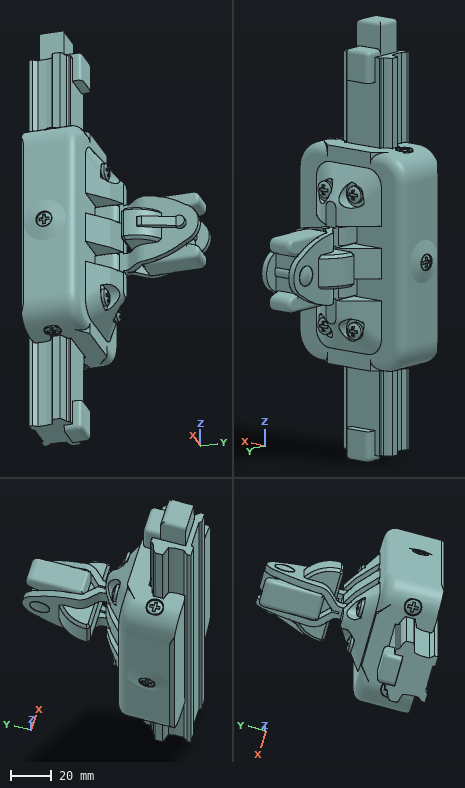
import cadquery as cq
import math

RAIL_LENGTH = 200.0
BASE_HALF_WIDTH = 12.0
BASE_EDGE_HEIGHT = 2.0
NECK_HALF_WIDTH = 10.3
NECK_BOTTOM = 4.2
NECK_TOP = 8.8
COVE_STEP = 0.7
COVE_MIDDLE = 11.9
HEAD_HALF_WIDTH = 15.5
HEAD_FLARE_HALF_WIDTH = 14.0
HEAD_FLARE = 12.7
HEAD_EDGE_BOTTOM = 13.5
HEAD_EDGE_TOP = 17.4
HEAD_SHOULDER = 18.5
CROWN_FOOT_HALF_WIDTH = 11.6
CROWN_FOOT = 19.3
CROWN_HALF_WIDTH = 10.5
CROWN_EDGE = 20.2
RAIL_BACK = 21.0
FRONT_GROOVE_HALF_WIDTH = 7.5
FRONT_GROOVE_FLOOR_HALF_WIDTH = 6.4
FRONT_GROOVE_DEPTH = 1.3

BAR_HALF_WIDTH = 7.7
BAR_FRONT = 4.0
BAR_BACK = 17.0
BAR_TOP = 116.5
BAR_FILLET = 2.0
HOOK_BACK = 26.2
HOOK_TIP = 87.5
HOOK_THICKNESS = 3.3
HOOK_FILLET = 2.5

BLOCK_HALF_WIDTH = 34.0
BLOCK_LENGTH = 110.0
BLOCK_FRONT = 2.6
BLOCK_BACK = 32.0
BLOCK_CORNER_RADIUS = 13.8
BLOCK_BACK_FILLET = 5.5
BLOCK_FRONT_CHAMFER = 2.0
END_FLAT_HALF_WIDTH = 13.6
SLOT_CLEARANCE = 0.7
MOUTH_HALF_WIDTH = 11.6
MOUTH_CHAMFER_WIDTH = 2.0
MOUTH_CHAMFER_DEPTH = 0.7

SCREW_HEAD_DIAMETER = 8.0
SCREW_HEAD_HEIGHT = 1.3
SCREW_POCKET_DIAMETER = 8.5
SCREW_POCKET_DEPTH = 1.0
CROSS_LENGTH = 5.0
CROSS_WIDTH = 1.3
CROSS_DEPTH = 0.9
SCREW_LINE_Y = 15.5
END_SCREW_X = 21.8
SIDE_BOSS_DIAMETER = 21.5
OVERALL_WIDTH = 71.9
SIDE_BOSS_TIP = OVERALL_WIDTH / 2
SIDE_POCKET_DIAMETER = 8.1

HUMP_HALF_WIDTH = 20.7
HUMP_KNEE_X = 10.1
HUMP_KNEE_Y = 41.5
HUMP_TOP = 46.0
HUMP_HALF_LENGTH = 46.8
HUMP_TOP_HALF_LENGTH = 30.8
HUMP_KNEE_HALF_LENGTH = 35.8
HUMP_BASE_CORNER = 8.8
HUMP_KNEE_CORNER = 9.7
HUMP_TOP_CORNER = 2.9
HUMP_SCREW_X = 9.5
HUMP_SCREW_Z = 34.3
HUMP_SCREW_DIAMETER = 8.5
HUMP_SCREW_SEAT = 37.8
HUMP_SCREW_HEIGHT = 3.0
HUMP_POCKET_DIAMETER = 12.7

NECK_HALF_THICKNESS = 3.0
LEG_HALF_THICKNESS = 5.3
LEG_SHOULDER = 40.0
LEG_CLEARANCE = 0.9
LEG_TOP = 44.0
NECK_BEND_START = 47.5
NECK_BEND_WIDTH = 0.9
FLARE_START = 49.7
FLARE_END = 53.2
SLIT_HALF_WIDTH = 0.5
SLIT_BOTTOM = 47.5
SLIT_TOP = 51.0
CHEEK_OUTER = 10.3
CHEEK_INNER = 7.0
INNER_BEND_WIDTH = 1.8
CHEEK_HALF_LENGTH = 17.8
CHEEK_TIP = 87.0
CHEEK_NOSE_START = 59.3
NOSE_FLANK_Y = 70.8
NOSE_FLANK_Z = 15.0
NOSE_TIP_START_Y = 80.2
NOSE_TIP_START_Z = 10.0
WINDOW_HALF_LENGTH = 8.5

GRIP_RADIUS = 19.1
GRIP_CENTRE_Y = 51.9
GRIP_BOTTOM = 49.7
GRIP_EDGE = 1.5
HANDLE_BOTTOM = 56.3
HANDLE_TOP = 86.4
HANDLE_HALF_LENGTH = 18.5
HANDLE_FILLET = 2.0
FINGER_NOSE_FILLET = 3.5
NOTCH_DEPTH = 6.5
NOTCH_MOUTH_HALF_LENGTH = 11.5
NOTCH_FLOOR_HALF_LENGTH = 9.2
RIVET_Y = 77.8
RIVET_DIAMETER = 10.1
RIVET_RIM = 0.2
RIVET_HEIGHT = 1.3
RIVET_TAIL_DIAMETER = 6.0
RIVET_TAIL_END = 13.2
STRIP_HALF_WIDTH = 2.5
STRIP_THICKNESS = 2.6
STRIP_FOOT_THICKNESS = 1.8
STRIP_TOP = 76.5
STRIP_KNEE = 60.7
STRIP_BOTTOM = 58.0


def mirrored_outline(half_points):
    """Closed XY outline from its +X half, listed from front to back."""
    return half_points + [(-x, y) for x, y in reversed(half_points)]


def prism_z(outline, z_min, z_max):
    return cq.Workplane("XY", origin=(0, 0, z_min)).polyline(outline).close().extrude(z_max - z_min)


def box(x_min, x_max, y_min, y_max, z_min, z_max):
    size = (x_max - x_min, y_max - y_min, z_max - z_min)
    return cq.Workplane("XY", origin=(x_min, y_min, z_min)).box(*size, centered=False)


def head_outline(neck, clearance):
    """+X half of the T-shaped head, grown by a clearance, above a neck of the given half width."""
    return [
        (neck, NECK_TOP - clearance),
        (neck + COVE_STEP, COVE_MIDDLE - clearance),
        (HEAD_FLARE_HALF_WIDTH, HEAD_FLARE - clearance),
        (HEAD_HALF_WIDTH + clearance, HEAD_EDGE_BOTTOM - clearance),
        (HEAD_HALF_WIDTH + clearance, HEAD_EDGE_TOP + clearance),
        (HEAD_FLARE_HALF_WIDTH, HEAD_SHOULDER + clearance),
        (CROWN_FOOT_HALF_WIDTH, CROWN_FOOT + clearance),
        (CROWN_HALF_WIDTH + clearance, CROWN_EDGE + clearance),
        (CROWN_HALF_WIDTH + clearance, RAIL_BACK + clearance),
    ]


def end_hook(direction):
    """Hook over one rail end; direction is +1 at the top and -1 at the bottom."""
    rail_end = RAIL_LENGTH / 2
    hook_end = rail_end + HOOK_THICKNESS
    hook = box(-BAR_HALF_WIDTH, BAR_HALF_WIDTH, BAR_BACK, HOOK_BACK, HOOK_TIP, hook_end)
    hook = hook.edges("|Z and >Y").fillet(HOOK_FILLET)
    hook = hook.faces(">Z").edges("not <Y").fillet(HOOK_FILLET)
    hook = hook.cut(box(-BAR_HALF_WIDTH, BAR_HALF_WIDTH, BAR_BACK, RAIL_BACK, HOOK_TIP, rail_end))
    return hook if direction > 0 else hook.mirror("XY")


def make_rail():
    """T-headed rail with its square bar and a hook at each end."""
    rail_end = RAIL_LENGTH / 2
    half_outline = [
        (FRONT_GROOVE_FLOOR_HALF_WIDTH, FRONT_GROOVE_DEPTH),
        (FRONT_GROOVE_HALF_WIDTH, 0),
        (BASE_HALF_WIDTH, 0),
        (BASE_HALF_WIDTH, BASE_EDGE_HEIGHT),
        (NECK_HALF_WIDTH, NECK_BOTTOM),
    ] + head_outline(NECK_HALF_WIDTH, 0)
    rail = prism_z(mirrored_outline(half_outline), -rail_end, rail_end)
    bar = box(-BAR_HALF_WIDTH, BAR_HALF_WIDTH, BAR_FRONT, BAR_BACK, 0, BAR_TOP)
    bar = bar.faces(">Z").edges("not <Y").fillet(BAR_FILLET)
    return rail.union(bar).union(end_hook(1)).union(end_hook(-1))


def dome(diameter, rim, height):
    """Disc on Z = 0 with a straight rim and a spherical top that reaches the given height."""
    radius = diameter / 2
    rise = height - rim
    sphere_radius = (radius**2 + rise**2) / (2 * rise)
    middle_y = height - sphere_radius + math.sqrt(sphere_radius**2 - (radius / 2) ** 2)
    return (
        cq.Workplane("XZ")
        .moveTo(0, 0)
        .lineTo(radius, 0)
        .lineTo(radius, rim)
        .threePointArc((radius / 2, middle_y), (0, height))
        .close()
        .revolve(360, (0, 0, 0), (0, 1, 0))
    )


def screw_head(diameter, height):
    """Domed head standing on Z = 0, with a cross recess in its top."""
    head = dome(diameter, height / 2, height)
    for length_x, length_y in ((CROSS_LENGTH, CROSS_WIDTH), (CROSS_WIDTH, CROSS_LENGTH)):
        bar = cq.Workplane("XY").box(length_x, length_y, 2 * CROSS_DEPTH)
        head = head.cut(bar.translate((0, 0, height)))
    return head


def cylinder_y(diameter, x, z, y_min, y_max):
    return cq.Workplane("XZ", origin=(x, y_min, z)).circle(diameter / 2).extrude(y_min - y_max)


def make_block():
    """Rounded carriage block with flat end middles and chamfered front side edges."""
    width = 2 * BLOCK_HALF_WIDTH
    half_length = BLOCK_LENGTH / 2
    block = (
        cq.Workplane("XZ", origin=(0, BLOCK_FRONT, 0)).rect(width, BLOCK_LENGTH)
        .extrude(-(BLOCK_BACK - BLOCK_FRONT))
        .edges("|Y").fillet(BLOCK_CORNER_RADIUS)
        .faces(">Y").edges().fillet(BLOCK_BACK_FILLET)
    )
    straight_half_width = BLOCK_HALF_WIDTH - BLOCK_CORNER_RADIUS
    end_flat = mirrored_outline([
        (straight_half_width, BLOCK_BACK - BLOCK_BACK_FILLET),
        (END_FLAT_HALF_WIDTH, BLOCK_BACK),
    ])
    block = block.union(prism_z(end_flat, -half_length, half_length))
    for side in (1, -1):
        chamfer = [
            (side * BLOCK_HALF_WIDTH, BLOCK_FRONT),
            (side * BLOCK_HALF_WIDTH, BLOCK_FRONT + BLOCK_FRONT_CHAMFER),
            (side * (BLOCK_HALF_WIDTH - BLOCK_FRONT_CHAMFER), BLOCK_FRONT),
        ]
        block = block.cut(prism_z(chamfer, -half_length, half_length))
    return block


def add_side_bosses(carriage):
    """Shallow cones on both sides, each with a sunk screw."""
    flat_radius = SCREW_POCKET_DIAMETER / 2
    pocket_radius = SIDE_POCKET_DIAMETER / 2
    rise = SIDE_BOSS_TIP - BLOCK_HALF_WIDTH
    boss = (
        cq.Workplane("XZ")
        .moveTo(0, 0)
        .lineTo(SIDE_BOSS_DIAMETER / 2, 0)
        .lineTo(flat_radius, rise)
        .lineTo(0, rise)
        .close()
        .revolve(360, (0, 0, 0), (0, 1, 0))
    )
    seat = rise - SCREW_POCKET_DEPTH
    pocket = cq.Workplane("XY", origin=(0, 0, seat)).circle(pocket_radius).extrude(SCREW_POCKET_DEPTH)
    head = screw_head(SCREW_HEAD_DIAMETER, SCREW_POCKET_DEPTH).translate((0, 0, seat))
    boss = boss.cut(pocket).union(head)
    for side in (1, -1):
        turned = boss.rotate((0, 0, 0), (0, 1, 0), side * 90)
        carriage = carriage.union(turned.translate((side * BLOCK_HALF_WIDTH, SCREW_LINE_Y, 0)))
    return carriage


def add_end_screws(carriage):
    """Sunk screws on both sides of the rail slot, at both ends of the block."""
    seat = BLOCK_LENGTH / 2 - SCREW_POCKET_DEPTH
    radius = SCREW_POCKET_DIAMETER / 2
    top_pocket = cq.Workplane("XY", origin=(0, 0, seat)).circle(radius).extrude(SCREW_POCKET_DEPTH)
    top_head = screw_head(SCREW_HEAD_DIAMETER, SCREW_HEAD_HEIGHT).translate((0, 0, seat))
    top_parts = (top_pocket, top_head)
    bottom_parts = (top_pocket.mirror("XY"), top_head.mirror("XY"))
    for pocket, head in (top_parts, bottom_parts):
        for side in (1, -1):
            place = (side * END_SCREW_X, SCREW_LINE_Y, 0)
            carriage = carriage.cut(pocket.translate(place)).union(head.translate(place))
    return carriage


def section_wire(y, half_width, half_length, corner_radius):
    """Rounded rectangle that lies across Y at the given height."""
    section = cq.Workplane("XZ", origin=(0, y, 0)).rect(2 * half_width, 2 * half_length).extrude(-2.2)
    return section.edges("|Y").fillet(corner_radius).faces("<Y").wires().val()


def make_hump():
    """Roof with conical corners, ruled between three rounded sections."""
    sections = [
        (BLOCK_BACK, HUMP_HALF_WIDTH, HUMP_HALF_LENGTH, HUMP_BASE_CORNER),
        (HUMP_KNEE_Y, HUMP_KNEE_X, HUMP_KNEE_HALF_LENGTH, HUMP_KNEE_CORNER),
        (HUMP_TOP, NECK_HALF_THICKNESS, HUMP_TOP_HALF_LENGTH, HUMP_TOP_CORNER),
    ]
    wires = [section_wire(*section) for section in sections]
    return cq.Workplane("XY").newObject([cq.Solid.makeLoft(wires, True)])


def add_hump(carriage):
    """Hump with four screws in round pockets and a clearance beside each clevis leg."""
    carriage = carriage.union(make_hump())
    head = screw_head(HUMP_SCREW_DIAMETER, HUMP_SCREW_HEIGHT).rotate((0, 0, 0), (1, 0, 0), -90)
    for end in (1, -1):
        for side in (1, -1):
            x = side * HUMP_SCREW_X
            z = end * HUMP_SCREW_Z
            carriage = carriage.cut(cylinder_y(HUMP_POCKET_DIAMETER, x, z, HUMP_SCREW_SEAT, HUMP_TOP))
            carriage = carriage.union(head.translate((x, HUMP_SCREW_SEAT, z)))
        z_low, z_high = sorted(
            (end * (WINDOW_HALF_LENGTH - LEG_CLEARANCE), end * (CHEEK_HALF_LENGTH + LEG_CLEARANCE))
        )
        for side in (1, -1):
            x_low, x_high = sorted((side * NECK_HALF_THICKNESS, side * HUMP_HALF_WIDTH))
            carriage = carriage.cut(box(x_low, x_high, BLOCK_BACK, HUMP_TOP, z_low, z_high))
    return carriage


def make_cheek():
    """+X half of the bent sheet: leg, neck, 45-degree flare and straight cheek."""
    flare_start_x = NECK_HALF_THICKNESS + NECK_BEND_WIDTH
    flare_end_x = flare_start_x + FLARE_END - FLARE_START
    inner_bend_x = CHEEK_INNER - INNER_BEND_WIDTH
    inner_bend_y = SLIT_TOP + inner_bend_x - SLIT_HALF_WIDTH
    return (
        cq.Workplane("XY", origin=(0, 0, -CHEEK_HALF_LENGTH))
        .moveTo(0, BLOCK_BACK)
        .lineTo(LEG_HALF_THICKNESS, BLOCK_BACK)
        .lineTo(LEG_HALF_THICKNESS, LEG_SHOULDER)
        .tangentArcPoint((NECK_HALF_THICKNESS, LEG_TOP), relative=False)
        .lineTo(NECK_HALF_THICKNESS, NECK_BEND_START)
        .tangentArcPoint((flare_start_x, FLARE_START), relative=False)
        .lineTo(flare_end_x, FLARE_END)
        .tangentArcPoint((CHEEK_OUTER, CHEEK_NOSE_START), relative=False)
        .lineTo(CHEEK_OUTER, CHEEK_TIP)
        .lineTo(CHEEK_INNER, CHEEK_TIP)
        .lineTo(CHEEK_INNER, CHEEK_NOSE_START)
        .tangentArcPoint((inner_bend_x, inner_bend_y), relative=False)
        .lineTo(SLIT_HALF_WIDTH, SLIT_TOP)
        .lineTo(SLIT_HALF_WIDTH, SLIT_BOTTOM)
        .lineTo(0, SLIT_BOTTOM)
        .close()
        .extrude(2 * CHEEK_HALF_LENGTH)
    )


def make_clevis():
    """Two cheeks joined at the neck, trimmed to a rounded nose and opened by the window."""
    cheek = make_cheek()
    clevis = cheek.union(cheek.mirror("YZ"))
    trim = (
        cq.Workplane("YZ")
        .moveTo(BLOCK_BACK, -CHEEK_HALF_LENGTH)
        .lineTo(CHEEK_NOSE_START, -CHEEK_HALF_LENGTH)
        .threePointArc((NOSE_FLANK_Y, -NOSE_FLANK_Z), (NOSE_TIP_START_Y, -NOSE_TIP_START_Z))
        .threePointArc((CHEEK_TIP, 0), (NOSE_TIP_START_Y, NOSE_TIP_START_Z))
        .threePointArc((NOSE_FLANK_Y, NOSE_FLANK_Z), (CHEEK_NOSE_START, CHEEK_HALF_LENGTH))
        .lineTo(BLOCK_BACK, CHEEK_HALF_LENGTH)
        .close().extrude(CHEEK_OUTER, both=True)
    )
    window = box(
        -CHEEK_OUTER, CHEEK_OUTER, BLOCK_BACK, CHEEK_NOSE_START, -WINDOW_HALF_LENGTH, WINDOW_HALF_LENGTH
    )
    return clevis.intersect(trim).cut(window)


def make_grip():
    """Half-disc that fills the window and stands out of both cheeks."""
    grip = (
        cq.Workplane("XY", origin=(0, 0, -WINDOW_HALF_LENGTH))
        .moveTo(-GRIP_RADIUS, GRIP_BOTTOM).lineTo(GRIP_RADIUS, GRIP_BOTTOM).lineTo(GRIP_RADIUS, GRIP_CENTRE_Y)
        .threePointArc((0, GRIP_CENTRE_Y + GRIP_RADIUS), (-GRIP_RADIUS, GRIP_CENTRE_Y))
        .close().extrude(2 * WINDOW_HALF_LENGTH)
    )
    return grip.edges("|Z and <Y").chamfer(GRIP_EDGE).faces("<Z or >Z").edges().chamfer(GRIP_EDGE)


def make_handle():
    """Block between the cheeks, forked at its free end into two round-nosed fingers."""
    handle = box(
        -CHEEK_INNER, CHEEK_INNER, HANDLE_BOTTOM, HANDLE_TOP, -HANDLE_HALF_LENGTH, HANDLE_HALF_LENGTH
    )
    notch = [
        (HANDLE_TOP, -NOTCH_MOUTH_HALF_LENGTH),
        (HANDLE_TOP - NOTCH_DEPTH, -NOTCH_FLOOR_HALF_LENGTH),
        (HANDLE_TOP - NOTCH_DEPTH, NOTCH_FLOOR_HALF_LENGTH),
        (HANDLE_TOP, NOTCH_MOUTH_HALF_LENGTH),
    ]
    handle = handle.cut(cq.Workplane("YZ").polyline(notch).close().extrude(CHEEK_INNER, both=True))
    handle = handle.edges("|X and >Y").fillet(FINGER_NOSE_FILLET)
    return handle.faces("<Z or >Z").edges().fillet(HANDLE_FILLET)


def add_rivet(carriage):
    """Domed rivet on the -X cheek, its plain tail on the +X cheek."""
    head = dome(RIVET_DIAMETER, RIVET_RIM, RIVET_HEIGHT).rotate((0, 0, 0), (0, 1, 0), -90)
    tail = (
        cq.Workplane("YZ", origin=(-CHEEK_OUTER, RIVET_Y, 0))
        .circle(RIVET_TAIL_DIAMETER / 2)
        .extrude(RIVET_TAIL_END + CHEEK_OUTER)
    )
    return carriage.union(head.translate((-CHEEK_OUTER, RIVET_Y, 0))).union(tail)


def make_strip():
    """Sloping latch strip from the rivet tail down to the grip."""
    outline = [
        (RIVET_TAIL_END - STRIP_THICKNESS, STRIP_TOP),
        (RIVET_TAIL_END, STRIP_TOP),
        (GRIP_RADIUS, STRIP_KNEE),
        (GRIP_RADIUS, STRIP_BOTTOM),
        (GRIP_RADIUS - STRIP_FOOT_THICKNESS, STRIP_BOTTOM),
    ]
    return prism_z(outline, -STRIP_HALF_WIDTH, STRIP_HALF_WIDTH)


def make_carriage():
    """Block that slides on the rail, with everything that is fixed to it."""
    carriage = make_block()
    slot = [
        (MOUTH_HALF_WIDTH + MOUTH_CHAMFER_WIDTH, BLOCK_FRONT),
        (MOUTH_HALF_WIDTH, BLOCK_FRONT + MOUTH_CHAMFER_DEPTH),
    ] + head_outline(MOUTH_HALF_WIDTH, SLOT_CLEARANCE)
    carriage = carriage.cut(prism_z(mirrored_outline(slot), -BLOCK_LENGTH / 2, BLOCK_LENGTH / 2))
    carriage = add_side_bosses(carriage)
    carriage = add_end_screws(carriage)
    carriage = add_hump(carriage)
    for piece in (make_clevis(), make_grip(), make_handle(), make_strip()):
        carriage = carriage.union(piece)
    return add_rivet(carriage)


rail = make_rail()
carriage = make_carriage()
result = cq.Compound.makeCompound([rail.solids().val(), carriage.solids().val()])